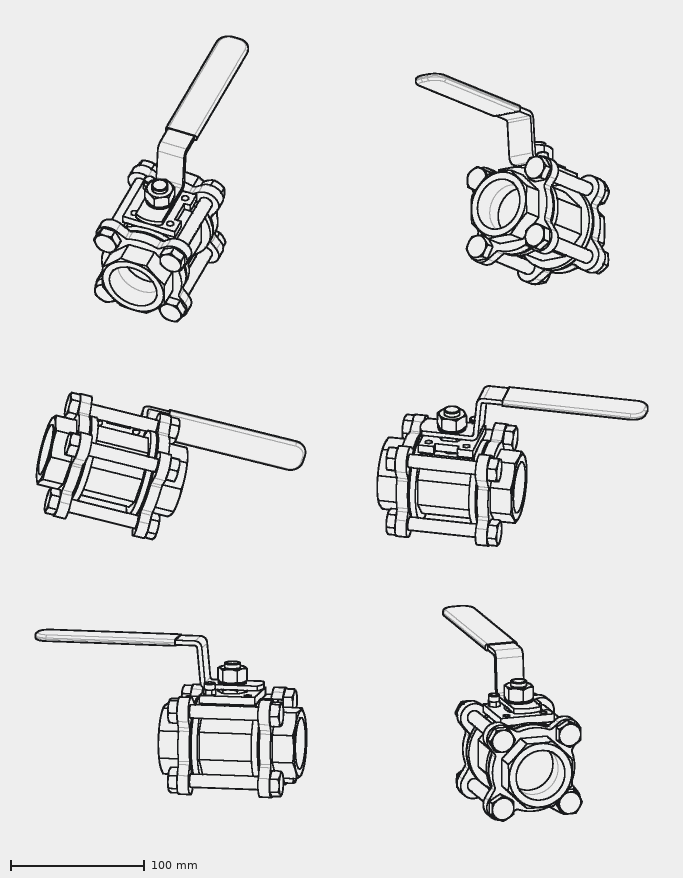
import cadquery as cq
import math


TOTAL_LENGTH = 202
HALF_LENGTH = 52.0
OCTAGON_FLATS = 50.3
CAP_CHAMFER_DIAMETER = 49.5
CAP_CHAMFER_ANGLE = 20
BORE_MOUTH_DIAMETER = 38.5
BORE_DIAMETER = 37.4
TAPER_DEPTH = 15.0

FLANGE_INNER_Y = 26.7
FLANGE_OUTER_Y = 35.4
FLANGE_DIAMETER = 65.0
RING_INNER_Y = 20.6
RING_OUTER_Y = 25.5
SEAL_DIAMETER = 62.6

BOLT_OFFSET = 26.5
LUG_DIAMETER = 21.0
LUG_FLAT_SLOPE = 31.3
LUG_STEEP_SLOPE = 52.2
LUG_REACH = 28.3
LUG_ROOT_FILLET = 2.8
ROD_DIAMETER = 10.0
BOLT_HEAD_FLATS = 17.0
BOLT_HEAD_HEIGHT = 7.3

PAD_SIZE = 42.2
PAD_BOTTOM = 31.7
PAD_TOP = 37.8
PAD_HOLE_DIAMETER = 5.0
PAD_HOLE_OFFSET = 14.5
NOTCH_DEPTH = 5.0
NOTCH_WIDTH = 18.2

PIN_DIAMETER = 8.0
PIN_HEX_TOP = 41.6
PIN_TOP = 46.5
PIN_CHAMFER = 0.6

STEM_DIAMETER = 12.0
STEM_TOP = 59.8
STEM_CHAMFER = 0.6
NUT_FLATS = 19.4
NUT_TOP = 56.2
WASHER_DIAMETER = 21.0
WASHER_TOP = 45.7
HEX_CHAMFER_ANGLE = 30

LEVER_WIDTH = 21.5
LEVER_THICKNESS = 3.6
LEVER_BOTTOM = 40.8
LEVER_FRONT_Y = -23.8
LEVER_NOSE_RADIUS = 21.0
LEVER_LOW_BEND_Y = 18.8
LEVER_HIGH_BEND_Y = 21.8
LEVER_INNER_BEND = 1.8
LEVER_OUTER_BEND = LEVER_INNER_BEND + LEVER_THICKNESS

GRIP_START_Y = 41.6
GRIP_END_Y = TOTAL_LENGTH - HALF_LENGTH
GRIP_WIDTH = 25.2
GRIP_THICKNESS = 5.0
GRIP_TOP = 78.0
GRIP_CORNER_RADIUS = 9.9
GRIP_EDGE_FILLET = 2.0

TRIM_MARGIN = 2.0
TOLERANCE = 0.02

PAD_THICKNESS = PAD_TOP - PAD_BOTTOM
LEVER_TOP = LEVER_BOTTOM + LEVER_THICKNESS


def across_corners(flats, sides):
    return flats / math.cos(math.pi / sides)


def y_plane(y):
    """Sketch plane at the given Y, with local x = -X, local y = Z and normal +Y."""
    return cq.Workplane(cq.Plane(origin=(0, y, 0), xDir=(-1, 0, 0), normal=(0, 1, 0)))


def z_plane(z):
    return cq.Workplane("XY", origin=(0, 0, z))


def y_cylinder(diameter, y_start, y_end):
    return y_plane(y_start).circle(diameter / 2).extrude(y_end - y_start)


def z_cylinder(diameter, z_start, z_end):
    return z_plane(z_start).circle(diameter / 2).extrude(z_end - z_start)


def prism(sides, flats, height):
    """Regular prism standing on Z = 0 with a flat on each side along X."""
    corners = across_corners(flats, sides)
    body = cq.Workplane("XY").polygon(sides, corners).extrude(height)
    return body.rotate((0, 0, 0), (0, 0, 1), 180 / sides)


def corner_trim(rim_diameter, flats, sides, height, angle):
    """Cone-topped body that bevels the top corners of a prism when intersected with it."""
    outer = across_corners(flats, sides) / 2 + TRIM_MARGIN
    rim = rim_diameter / 2
    drop = (outer - rim) * math.tan(math.radians(angle))
    profile = [(0, 0), (outer, 0), (outer, height - drop), (rim, height), (0, height)]
    return cq.Workplane("XZ").polyline(profile).close().revolve(360, (0, 0), (0, 1))


def hex_head(flats, height):
    trim = corner_trim(flats, flats, 6, height, HEX_CHAMFER_ANGLE)
    return prism(6, flats, height).intersect(trim)


def mirrored_ends(front):
    return front.union(front.mirror("XZ"))


def lug_web():
    """Wedge from the lug on (-X, +Z) towards the flange disc, with sides tangent to the lug circle."""
    def tangent_side(normal_angle, inward_angle):
        normal = math.radians(normal_angle)
        inward = math.radians(inward_angle)
        x = -BOLT_OFFSET + LUG_DIAMETER / 2 * math.cos(normal)
        z = BOLT_OFFSET + LUG_DIAMETER / 2 * math.sin(normal)
        return (x, z), (x + LUG_REACH * math.cos(inward), z + LUG_REACH * math.sin(inward))

    upper_start, upper_end = tangent_side(90 - LUG_FLAT_SLOPE, -LUG_FLAT_SLOPE)
    lower_start, lower_end = tangent_side(270 - LUG_STEEP_SLOPE, -LUG_STEEP_SLOPE)
    outline = [upper_start, upper_end, lower_end, lower_start]
    return cq.Workplane("XZ").polyline(outline).close().extrude(FLANGE_OUTER_Y - FLANGE_INNER_Y)


def flange():
    """Disc with four lugs at the -Y end, rounded where the lugs run into the disc."""
    thickness = FLANGE_OUTER_Y - FLANGE_INNER_Y
    lug = cq.Workplane("XZ").center(-BOLT_OFFSET, BOLT_OFFSET).circle(LUG_DIAMETER / 2).extrude(thickness)
    lug = lug.union(lug_web())
    body = cq.Workplane("XZ").circle(FLANGE_DIAMETER / 2).extrude(thickness)
    for quarter in range(4):
        body = body.union(lug.rotate((0, 0, 0), (0, 1, 0), 90 * quarter))

    def at_lug_root(edge):
        x, z = abs(edge.Center().x), abs(edge.Center().z)
        return abs(math.hypot(x, z) - FLANGE_DIAMETER / 2) < TOLERANCE and min(x, z) > TOLERANCE

    body = body.edges("|Y").filter(at_lug_root).fillet(LUG_ROOT_FILLET)
    return body.translate((0, -FLANGE_INNER_Y, 0))


def bore():
    """Blind bore of the -Y end cap, reaching the ring face and widening in a taper at its mouth."""
    taper = (
        z_plane(HALF_LENGTH - TAPER_DEPTH)
        .circle(BORE_DIAMETER / 2)
        .workplane(offset=TAPER_DEPTH)
        .circle(BORE_MOUTH_DIAMETER / 2)
        .loft()
    )
    straight = z_cylinder(BORE_DIAMETER, RING_OUTER_Y, HALF_LENGTH)
    return straight.union(taper).rotate((0, 0, 0), (1, 0, 0), 90)


def socket():
    """Octagonal socket of the -Y end cap, bevelled at its rim."""
    length = HALF_LENGTH - FLANGE_INNER_Y
    body = prism(8, OCTAGON_FLATS, length)
    body = body.intersect(corner_trim(CAP_CHAMFER_DIAMETER, OCTAGON_FLATS, 8, length, CAP_CHAMFER_ANGLE))
    return body.rotate((0, 0, 0), (1, 0, 0), 90).translate((0, -FLANGE_INNER_Y, 0))


def end_caps():
    """Both end caps, each seated on the middle body by a seal narrower than the ring."""
    seal = y_cylinder(SEAL_DIAMETER, -FLANGE_INNER_Y, -RING_OUTER_Y)
    return mirrored_ends(flange().union(socket()).union(seal).cut(bore()))


def bolts():
    """Four through rods with hex heads at both ends; neighbours are turned by 90 degrees."""
    rod = y_cylinder(ROD_DIAMETER, -FLANGE_OUTER_Y, FLANGE_OUTER_Y)
    head = hex_head(BOLT_HEAD_FLATS, BOLT_HEAD_HEIGHT).rotate((0, 0, 0), (0, 0, 1), 90)
    head = head.rotate((0, 0, 0), (1, 0, 0), 90).translate((0, -FLANGE_OUTER_Y, 0))
    bolt = rod.union(mirrored_ends(head)).translate((-BOLT_OFFSET, 0, BOLT_OFFSET))
    group = bolt
    for quarter in range(1, 4):
        group = group.union(bolt.rotate((0, 0, 0), (0, 1, 0), 90 * quarter))
    return group


def middle_body():
    """Octagonal core between two solid rings."""
    core = prism(8, OCTAGON_FLATS, 2 * RING_INNER_Y).translate((0, 0, -RING_INNER_Y))
    core = core.rotate((0, 0, 0), (1, 0, 0), 90)
    ring = y_cylinder(FLANGE_DIAMETER, -RING_OUTER_Y, -RING_INNER_Y)
    return core.union(mirrored_ends(ring))


def pad():
    """Square plate on top of the rings with three open holes and a notch in its +X side."""
    plate = z_plane(PAD_BOTTOM).rect(PAD_SIZE, PAD_SIZE).extrude(PAD_THICKNESS)
    corners = [(PAD_HOLE_OFFSET * x, PAD_HOLE_OFFSET * y) for x, y in ((1, 1), (1, -1), (-1, -1))]
    holes = z_plane(PAD_BOTTOM).pushPoints(corners).circle(PAD_HOLE_DIAMETER / 2).extrude(PAD_THICKNESS)
    notch = z_plane(PAD_BOTTOM).center(PAD_SIZE / 2, 0).rect(2 * NOTCH_DEPTH, NOTCH_WIDTH)
    notch = notch.extrude(PAD_THICKNESS)
    return plate.cut(holes).cut(notch)


def stop_pin():
    """Hex shank with a round head in the fourth pad corner."""
    shank = prism(6, PIN_DIAMETER, PIN_HEX_TOP - PAD_TOP).translate((0, 0, PAD_TOP))
    head = z_cylinder(PIN_DIAMETER, PIN_HEX_TOP, PIN_TOP).faces(">Z").chamfer(PIN_CHAMFER)
    return shank.union(head).translate((-PAD_HOLE_OFFSET, PAD_HOLE_OFFSET, 0))


def stem():
    """Stem with a lower nut under the lever and a washer and upper nut above it."""
    shaft = z_cylinder(STEM_DIAMETER, 0, STEM_TOP).faces(">Z").chamfer(STEM_CHAMFER)
    lower_nut = hex_head(NUT_FLATS, LEVER_BOTTOM - PAD_TOP).translate((0, 0, PAD_TOP))
    washer = z_cylinder(WASHER_DIAMETER, LEVER_TOP, WASHER_TOP)
    nut_height = NUT_TOP - WASHER_TOP
    upper_nut = hex_head(NUT_FLATS, nut_height)
    upper_nut = upper_nut.intersect(upper_nut.mirror("XY").translate((0, 0, nut_height)))
    return shaft.union(lower_nut).union(washer).union(upper_nut.translate((0, 0, WASHER_TOP)))


def lever():
    """Bent strip: flat on the stem, a leaning riser, then level again inside the grip."""
    grip_middle = GRIP_TOP - GRIP_THICKNESS / 2
    high_top = grip_middle + LEVER_THICKNESS / 2
    high_bottom = grip_middle - LEVER_THICKNESS / 2
    end_y = GRIP_START_Y + GRIP_CORNER_RADIUS
    lean = math.atan2(LEVER_HIGH_BEND_Y - LEVER_LOW_BEND_Y, high_top - LEVER_TOP)
    mitre = LEVER_THICKNESS * math.tan(math.pi / 4 - lean / 2)
    low_bend = (LEVER_LOW_BEND_Y, LEVER_TOP)
    low_bend_under = (LEVER_LOW_BEND_Y + mitre, LEVER_BOTTOM)
    high_bend = (LEVER_HIGH_BEND_Y, high_top)
    high_bend_under = (LEVER_HIGH_BEND_Y + mitre, high_bottom)
    profile = [
        (LEVER_FRONT_Y, LEVER_BOTTOM), (LEVER_FRONT_Y, LEVER_TOP), low_bend, high_bend,
        (end_y, high_top), (end_y, high_bottom), high_bend_under, low_bend_under,
    ]
    half_width = LEVER_WIDTH / 2
    strip = cq.Workplane("YZ").polyline(profile).close().extrude(half_width, both=True)

    def bend_edges(points):
        def at_bend(edge):
            middle = edge.Center()
            return any(math.hypot(middle.y - y, middle.z - z) < TOLERANCE for y, z in points)
        return at_bend

    strip = strip.edges("|X").filter(bend_edges([low_bend, high_bend_under])).fillet(LEVER_INNER_BEND)
    strip = strip.edges("|X").filter(bend_edges([low_bend_under, high_bend])).fillet(LEVER_OUTER_BEND)

    nose_middle = LEVER_FRONT_Y + LEVER_NOSE_RADIUS
    nose_side = nose_middle - math.sqrt(LEVER_NOSE_RADIUS ** 2 - half_width ** 2)
    nose_plan = (
        z_plane(0)
        .moveTo(-half_width, end_y)
        .lineTo(-half_width, nose_side)
        .threePointArc((0, LEVER_FRONT_Y), (half_width, nose_side))
        .lineTo(half_width, end_y)
        .close()
        .extrude(GRIP_TOP)
    )
    return strip.intersect(nose_plan)


def grip():
    """Sleeve with rounded far corners and rounded long edges."""
    length = GRIP_END_Y - GRIP_START_Y
    sleeve = cq.Workplane("XY").box(GRIP_WIDTH, length, GRIP_THICKNESS)
    sleeve = sleeve.edges("|Z and >Y").fillet(GRIP_CORNER_RADIUS)
    sleeve = sleeve.edges("(>Z or <Z) exc <Y").fillet(GRIP_EDGE_FILLET)
    return sleeve.translate((0, GRIP_START_Y + length / 2, GRIP_TOP - GRIP_THICKNESS / 2))


result = middle_body()
for part in (end_caps, bolts, pad, stop_pin, stem, lever, grip):
    result = result.union(part())